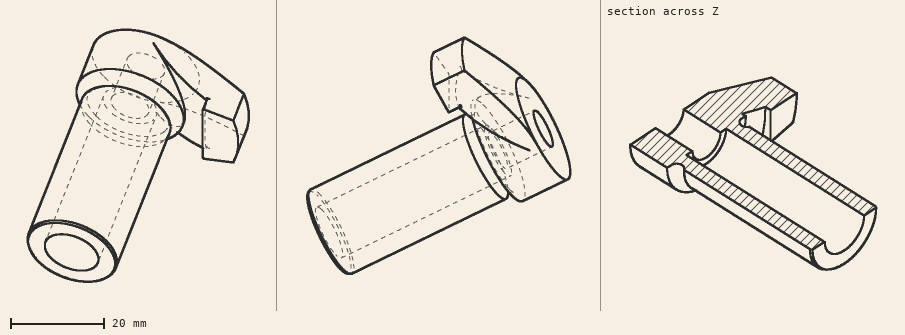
import cadquery as cq
import math

HEAD_DIAMETER = 24.0
HEAD_LENGTH = 11.0
OVERALL_LENGTH = 52.0

SHANK_DIAMETER = 20.0
SHANK_CHAMFER_LENGTH = 0.5
SHANK_CHAMFER_ANGLE = 30.0
UNDERCUT_LENGTH = 3.0
UNDERCUT_RADIUS = 1.6

SHANK_BORE_DIAMETER = 12.0
HEAD_HOLE_DIAMETER = 8.5

ARM_REACH = 25.0
ARM_TAPER_SLOPE = 0.2
ARM_BACK_DROP = 6.0
ARM_DEPTH = 13.5
UNDERSIDE_RADIUS = 45.0
UNDERSIDE_CENTRE_X = 30.5
UNDERSIDE_CENTRE_Y = 31.0

PAD_START = 17.0
PAD_CORNER_RADIUS = 0.5
PAD_CORNER_DEPTH = 3.0

CUT_OVERRUN = 1.0

HEAD_RADIUS = HEAD_DIAMETER / 2
SHANK_RADIUS = SHANK_DIAMETER / 2
TAPER_ANGLE = math.atan(ARM_TAPER_SLOPE)


def cylinder_along_y(radius, y_start, y_end):
    """Cylinder on the Y axis, from y_start down to y_end."""
    return cq.Workplane("XZ", origin=(0, y_start, 0)).circle(radius).extrude(y_start - y_end)


def make_head_and_shank():
    """Turned body: head, undercut that runs tangent into the head face, and shank."""
    undercut_centre_y = -HEAD_LENGTH - UNDERCUT_RADIUS
    shank_start = -HEAD_LENGTH - UNDERCUT_LENGTH
    half_chord = undercut_centre_y - shank_start
    rise_to_centre = math.sqrt(UNDERCUT_RADIUS**2 - half_chord**2)
    undercut_centre_x = SHANK_RADIUS + rise_to_centre
    undercut_bottom = (undercut_centre_x - UNDERCUT_RADIUS, undercut_centre_y)

    chamfer_inset = SHANK_CHAMFER_LENGTH * math.tan(math.radians(SHANK_CHAMFER_ANGLE))
    return (
        cq.Workplane("XY")
        .moveTo(0, 0)
        .lineTo(HEAD_RADIUS, 0)
        .lineTo(HEAD_RADIUS, -HEAD_LENGTH)
        .lineTo(undercut_centre_x, -HEAD_LENGTH)
        .threePointArc(undercut_bottom, (SHANK_RADIUS, shank_start))
        .lineTo(SHANK_RADIUS, -OVERALL_LENGTH + SHANK_CHAMFER_LENGTH)
        .lineTo(SHANK_RADIUS - chamfer_inset, -OVERALL_LENGTH)
        .lineTo(0, -OVERALL_LENGTH)
        .close()
        .revolve(360, (0, 0, 0), (0, 1, 0))
    )


def arm_half_width(x):
    """Half width of the arm at x; its flat sides are tangent to the head."""
    return HEAD_RADIUS / math.cos(TAPER_ANGLE) - ARM_TAPER_SLOPE * x


def make_arm_blank():
    """Turned disc with a conical back, trimmed to the tapering outline of the arm."""
    disc = (
        cq.Workplane("XY")
        .moveTo(0, 0)
        .lineTo(HEAD_RADIUS, 0)
        .lineTo(ARM_REACH, -ARM_BACK_DROP)
        .lineTo(ARM_REACH, -ARM_DEPTH)
        .lineTo(0, -ARM_DEPTH)
        .close()
        .revolve(360, (0, 0, 0), (0, 1, 0))
    )
    tangent_x = HEAD_RADIUS * math.sin(TAPER_ANGLE)
    tangent_z = HEAD_RADIUS * math.cos(TAPER_ANGLE)
    outline_end = ARM_REACH + CUT_OVERRUN
    end_half_width = arm_half_width(outline_end)
    outline = (
        cq.Workplane("XZ")
        .moveTo(tangent_x, tangent_z)
        .lineTo(outline_end, end_half_width)
        .lineTo(outline_end, -end_half_width)
        .lineTo(tangent_x, -tangent_z)
        .close()
        .extrude(ARM_DEPTH)
    )
    return disc.intersect(outline)


def make_underside_cut():
    """Space below the arm, between the head and the pad, under a spherical surface."""
    space = (
        cq.Workplane("XY")
        .box(PAD_START, ARM_DEPTH, HEAD_DIAMETER + 2 * CUT_OVERRUN, centered=(False, False, True))
        .translate((0, -ARM_DEPTH, 0))
    )
    sphere = (
        cq.Workplane("XY")
        .sphere(UNDERSIDE_RADIUS)
        .translate((UNDERSIDE_CENTRE_X, UNDERSIDE_CENTRE_Y, 0))
    )
    return space.cut(sphere)


def make_pad_corner_cut(side):
    """Sliver that rounds the pad corner at the +Z (side = 1) or -Z (side = -1) face."""
    corner_z = arm_half_width(PAD_START)
    corner_angle = math.pi / 2 - TAPER_ANGLE
    tangent_length = PAD_CORNER_RADIUS / math.tan(corner_angle / 2)
    arc_centre_x = PAD_START + PAD_CORNER_RADIUS
    arc_centre_z = corner_z - tangent_length
    wall_point = (PAD_START, side * arc_centre_z)
    side_point = (
        PAD_START + tangent_length * math.cos(TAPER_ANGLE),
        side * (corner_z - tangent_length * math.sin(TAPER_ANGLE)),
    )
    bisector = math.pi - (math.pi - corner_angle) / 2
    arc_middle = (
        arc_centre_x + PAD_CORNER_RADIUS * math.cos(bisector),
        side * (arc_centre_z + PAD_CORNER_RADIUS * math.sin(bisector)),
    )
    return (
        cq.Workplane("XZ", origin=(0, -ARM_DEPTH, 0))
        .moveTo(PAD_START, side * corner_z)
        .lineTo(*wall_point)
        .threePointArc(arc_middle, side_point)
        .close()
        .extrude(-PAD_CORNER_DEPTH)
    )


def make_arm():
    """Arm with its spherical underside and the rounded pad at the tip."""
    arm = make_arm_blank().cut(make_underside_cut())
    for side in (1, -1):
        arm = arm.cut(make_pad_corner_cut(side))
    return arm


def make_stepped_bore():
    """Narrow hole through the head, opening into the wide bore of the shank."""
    head_hole = cylinder_along_y(HEAD_HOLE_DIAMETER / 2, 0, -OVERALL_LENGTH)
    shank_bore = cylinder_along_y(SHANK_BORE_DIAMETER / 2, -HEAD_LENGTH, -OVERALL_LENGTH)
    return head_hole.union(shank_bore)


result = make_head_and_shank().union(make_arm()).cut(make_stepped_bore())